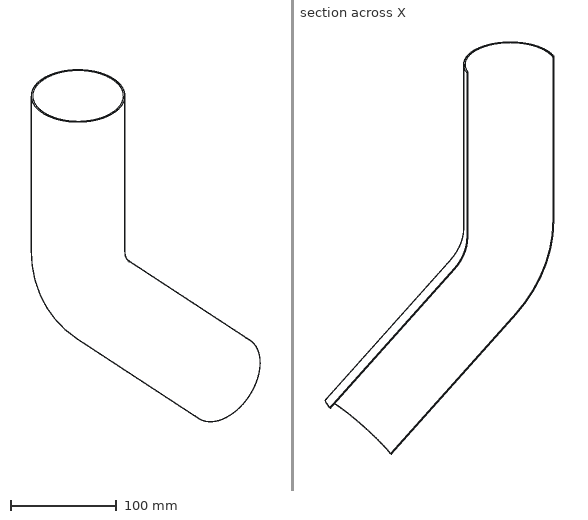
import cadquery as cq
import math

outer_diameter = 88.7
inner_diameter = 85.5
leg_length = 178.0
bend_radius = 88.7
bend_angle = 45.0

bend = math.radians(bend_angle)
top_end = (0, leg_length)
bend_start = (0, 0)


def point_on_bend(angle):
    """Centreline point after turning by the given angle from vertical."""
    return (bend_radius * (1 - math.cos(angle)), -bend_radius * math.sin(angle))


bend_end = point_on_bend(bend)
bottom_end = (
    bend_end[0] + leg_length * math.sin(bend),
    bend_end[1] - leg_length * math.cos(bend),
)

centreline = (
    cq.Workplane("YZ")
    .moveTo(*top_end)
    .lineTo(*bend_start)
    .threePointArc(point_on_bend(bend / 2), bend_end)
    .lineTo(*bottom_end)
)

result = (
    cq.Workplane("XY", origin=(0, 0, leg_length))
    .circle(outer_diameter / 2)
    .circle(inner_diameter / 2)
    .sweep(centreline)
)